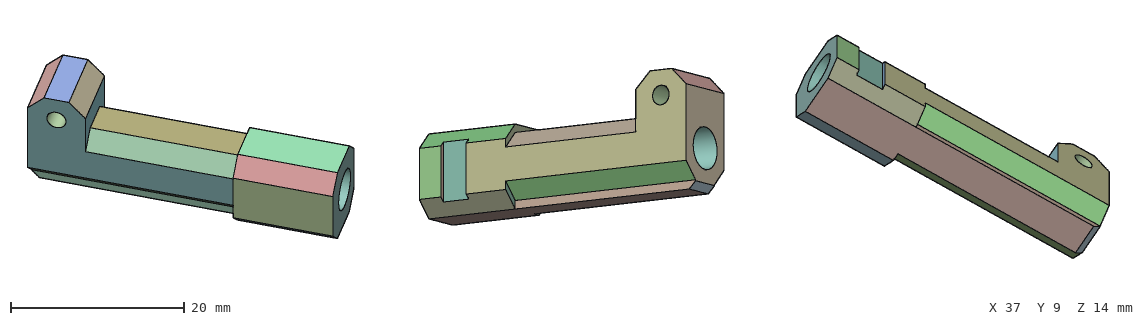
import cadquery as cq

length = 37.0
total_height = 14.0
body_size = 8.0
step = 1.0
corner = 2.0
lug_length = 7.0
tail_length = 12.0
bore_diameter = 5.0
pin_diameter = 2.3
pin_drop = 3.0
keel_chamfer = 0.9
notch_width = 3.5
notch_depth = 0.5
notch_end_gap = 3.0

side_y = body_size / 2
tail_start = length - tail_length
tail_width = body_size + step
tail_height = body_size + 2 * step
bore_z = step + body_size / 2
keel_width = body_size - 2 * corner


def block(x_start, x_end, y_max, width, z_min, height):
    """Box given by its X range, its +Y face and its underside."""
    size_x = x_end - x_start
    box = cq.Workplane("XY").box(size_x, width, height, centered=False)
    return box.translate((x_start, y_max - width, z_min))


barrel = block(0, tail_start, side_y, body_size, step, body_size)
barrel = barrel.edges("|X").chamfer(corner)

lug = block(0, lug_length, side_y, body_size, step, total_height - step)
lug = lug.edges("|Y and >Z").chamfer(corner)
lug = lug.edges("|X and <Z").chamfer(corner)

keel = block(0, tail_start, keel_width / 2, keel_width, 0, bore_z)
keel = keel.edges("|Y and <X and <Z").chamfer(keel_chamfer)

tail = block(tail_start, length, side_y, tail_width, 0, tail_height)
tail = tail.edges("|X").chamfer(corner)

bore = cq.Workplane("YZ").center(0, bore_z).circle(bore_diameter / 2).extrude(length)

pin_hole = (
    cq.Workplane("XZ")
    .center(lug_length / 2, total_height - pin_drop)
    .circle(pin_diameter / 2)
    .extrude(body_size / 2, both=True)
)

notch_end = length - notch_end_gap
notch = block(notch_end - notch_width, notch_end, side_y, notch_depth, 0, tail_height)

body = barrel.union(lug).union(keel).union(tail)
result = body.cut(bore).cut(pin_hole).cut(notch)